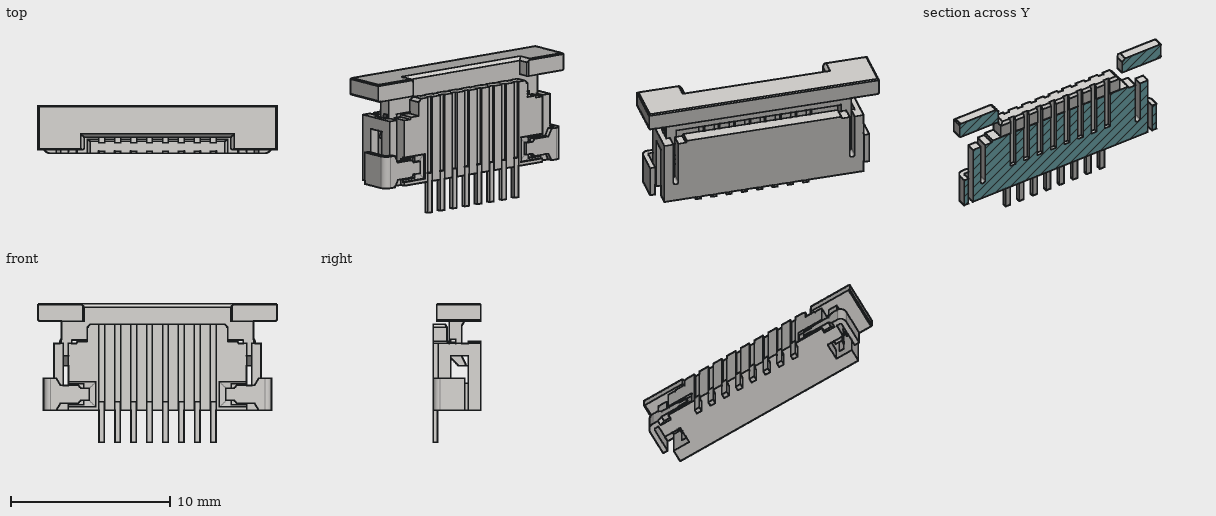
import cadquery as cq

DEPTH = 3.0
PIN_LENGTH = 2.0
HEIGHT_ABOVE_BASE = 6.7

BODY_HALF = 5.59
BODY_HEIGHT = 4.2
STEP_HALF = 5.03
STEP_RISE = 0.13
STEP_BEVEL = 0.07
TOWER_HALF = 4.41
TOWER_DEPTH = 0.88
TOWER_TOP = 5.41
TOWER_BEVEL = 0.2
TOWER_BACK_BEVEL = 0.12

CAVITY_FRONT = 1.0
CAVITY_BACK = 2.19
CAVITY_FLOOR = 1.72
CAVITY_END_RELIEF = 0.22

EAR_OUTER = 6.5
EAR_INNER = 5.91
EAR_FRONT = 0.33
WINDOW_FRONT = 1.12
WINDOW_TOP = 3.42
SLIT_FLOOR = 1.2

CONTACT_COUNT = 8
PITCH = 1.0
CONTACT_WIDTH = 0.37
PIN_WIDTH = 0.35
PIN_DEPTH = 0.28
PIN_TOP = 0.54
FRONT_GROOVE_DEPTH = 0.15
BACK_GROOVE_START = 0.68

BAR_HALF = 7.5
BAR_FRONT = 0.22
BAR_HEIGHT = 1.1
BAR_BOTTOM = HEIGHT_ABOVE_BASE - BAR_HEIGHT
BAR_BEVEL = 0.08
NOTCH_HALF = 4.59
NOTCH_BEVEL = 0.22
NOTCH_CORNER_BEVEL = 0.1
TONGUE_HALF = 6.03
TONGUE_FRONT = CAVITY_FRONT
TONGUE_BACK = 1.8
TONGUE_BOTTOM = 4.41
TONGUE_FLARE = 0.18
TONGUE_FLARE_HEIGHT = 0.28
LEG_INNER = 5.37
HOOK_BOTTOM = 2.79
HOOK_TIP_FRONT = 1.6
HOOK_TIP_BACK = 2.1
NIB_REACH = 0.11
NIB_TOP_REACH = 0.04
NIB_DEPTH = 0.29
NIB_HEIGHT = 0.25
NIB_EDGE_HEIGHT = 0.08

CLIP_OUTER = 7.15
CLIP_THICKNESS = EAR_FRONT
CLIP_DEPTH = 2.0
CLIP_HEIGHT = 2.03
CLIP_BEND_RADIUS = 0.42
CLIP_BEND_INNER = CLIP_BEND_RADIUS - CLIP_THICKNESS
CLIP_WIDE_END = 6.35
CLIP_NECK_START = 6.08
CLIP_NECK_END = 4.97
CLIP_TIP_START = 4.8
CLIP_TIP_END = 4.29
CLIP_NECK_WIDTH = 1.1
CLIP_TIP_WIDTH = 0.76
POCKET_END = 3.88
POCKET_WIDTH = 1.58
POCKET_MARGIN = 0.4
POCKET_RIM_DEPTH = 0.15
POCKET_FLOOR_DEPTH = 0.18
BARB_SLOT_END = 4.61
BARB_SLOT_WIDTH = 1.33


def box(x0, x1, y0, y1, z0, z1):
    """Box between two opposite corners."""
    return cq.Workplane("XY").box(x1 - x0, y1 - y0, z1 - z0, centered=False).translate((x0, y0, z0))


def wide_box(half, y0, y1, z0, z1):
    """Box symmetric about X = 0."""
    return box(-half, half, y0, y1, z0, z1)


def front_prism(points, y0, y1):
    """Extrude an X-Z outline from y0 to y1."""
    return cq.Workplane("XZ", origin=(0, y0, 0)).polyline(points).close().extrude(y0 - y1)


def side_prism(points, x0, x1):
    """Extrude a Y-Z outline from x0 to x1."""
    return cq.Workplane("YZ", origin=(x0, 0, 0)).polyline(points).close().extrude(x1 - x0)


def both_sides(shape):
    """The shape together with its mirror image across X = 0."""
    return shape.union(shape.mirror("YZ"))


def make_body():
    step_top = BODY_HEIGHT + STEP_RISE
    body = wide_box(BODY_HALF, 0, DEPTH, 0, BODY_HEIGHT)
    step = front_prism(
        [
            (-STEP_HALF - STEP_BEVEL, BODY_HEIGHT),
            (-STEP_HALF, step_top),
            (STEP_HALF, step_top),
            (STEP_HALF + STEP_BEVEL, BODY_HEIGHT),
        ],
        0,
        DEPTH,
    )
    body = body.union(step)
    body = body.cut(wide_box(BODY_HALF, CAVITY_FRONT, CAVITY_BACK, CAVITY_FLOOR, step_top))
    relief_start = -BODY_HALF + CAVITY_END_RELIEF
    end_relief = box(-BODY_HALF, relief_start, WINDOW_FRONT, CAVITY_BACK, 0, CAVITY_FLOOR)
    body = body.cut(both_sides(end_relief))
    return body.union(make_tower(step_top))


def make_tower(base):
    shoulder = TOWER_TOP - TOWER_BEVEL
    outline = front_prism(
        [
            (-TOWER_HALF, base),
            (-TOWER_HALF, shoulder),
            (-TOWER_HALF + TOWER_BEVEL, TOWER_TOP),
            (TOWER_HALF - TOWER_BEVEL, TOWER_TOP),
            (TOWER_HALF, shoulder),
            (TOWER_HALF, base),
        ],
        0,
        TOWER_DEPTH,
    )
    profile = side_prism(
        [
            (0, base),
            (0, TOWER_TOP),
            (TOWER_DEPTH - TOWER_BACK_BEVEL, TOWER_TOP),
            (TOWER_DEPTH, shoulder),
            (TOWER_DEPTH, base),
        ],
        -TOWER_HALF,
        TOWER_HALF,
    )
    return outline.intersect(profile)


def make_ear():
    """Left ear: a frame with a side window, a slider slot in its top and webs to the body."""
    ear = box(-EAR_OUTER, -EAR_INNER, EAR_FRONT, DEPTH, 0, BODY_HEIGHT)
    ear = ear.cut(box(-EAR_OUTER, -EAR_INNER, WINDOW_FRONT, CAVITY_BACK, 0, WINDOW_TOP))
    ear = ear.cut(box(-TONGUE_HALF, -EAR_INNER, WINDOW_FRONT, CAVITY_BACK, WINDOW_TOP, BODY_HEIGHT))
    nib_clearance = box(
        -TONGUE_HALF - NIB_REACH, -TONGUE_HALF, WINDOW_FRONT + NIB_DEPTH, CAVITY_BACK, WINDOW_TOP, BODY_HEIGHT
    )
    ear = ear.cut(nib_clearance)
    return ear.union(make_web(EAR_FRONT, WINDOW_FRONT)).union(make_web(CAVITY_BACK, DEPTH))


def make_web(y0, y1):
    """Web closing the lower end of the left slit, with a half-round slit floor."""
    radius = (EAR_INNER - BODY_HALF) / 2
    round_center = SLIT_FLOOR + radius
    web = box(-EAR_INNER, -BODY_HALF, y0, y1, 0, round_center)
    slit_end = (
        cq.Workplane("XZ", origin=(-BODY_HALF - radius, y0, round_center)).circle(radius).extrude(y0 - y1)
    )
    return web.cut(slit_end)


def make_clip_pocket():
    """Left pocket in the body front: a shallow recess with a floor sloping to the clip, and a barb slot."""
    middle = CLIP_HEIGHT / 2
    half = POCKET_WIDTH / 2
    inner_half = half - POCKET_MARGIN
    length = BODY_HALF - POCKET_END
    inner_length = length - POCKET_MARGIN
    rim = box(-BODY_HALF, -POCKET_END, 0, POCKET_RIM_DEPTH, middle - half, middle + half)
    floor = (
        cq.Workplane("XZ", origin=(-BODY_HALF, POCKET_RIM_DEPTH, middle))
        .polyline([(0, -half), (length, -half), (length, half), (0, half)])
        .close()
        .workplane(offset=POCKET_RIM_DEPTH - POCKET_FLOOR_DEPTH)
        .polyline([(0, -inner_half), (inner_length, -inner_half), (inner_length, inner_half), (0, inner_half)])
        .close()
        .loft(ruled=True)
    )
    slot_half = BARB_SLOT_WIDTH / 2
    slot = box(-BODY_HALF, -BARB_SLOT_END, 0, CLIP_THICKNESS, middle - slot_half, middle + slot_half)
    return rim.union(floor).union(slot)


def make_clip():
    """Left clip: an L-shaped strip whose front leg narrows in two steps towards its tip."""
    strip = box(-CLIP_OUTER, -CLIP_TIP_END, 0, CLIP_DEPTH, 0, CLIP_HEIGHT)
    strip = strip.edges("|Z and <X and <Y").fillet(CLIP_BEND_RADIUS)
    inside = box(-CLIP_OUTER + CLIP_THICKNESS, -CLIP_TIP_END, CLIP_THICKNESS, CLIP_DEPTH, 0, CLIP_HEIGHT)
    inside = inside.edges("|Z and <X and <Y").fillet(CLIP_BEND_INNER)
    strip = strip.cut(inside)

    middle = CLIP_HEIGHT / 2
    neck = CLIP_NECK_WIDTH / 2
    tip = CLIP_TIP_WIDTH / 2
    upper_edge = [
        (-CLIP_OUTER, middle),
        (-CLIP_WIDE_END, middle),
        (-CLIP_NECK_START, neck),
        (-CLIP_NECK_END, neck),
        (-CLIP_TIP_START, tip),
        (-CLIP_TIP_END, tip),
    ]
    lower_edge = [(x, -z) for x, z in reversed(upper_edge)]
    outline = front_prism(upper_edge + lower_edge, 0, CLIP_DEPTH).translate((0, 0, middle))
    return strip.intersect(outline)


def make_bar():
    bar = wide_box(BAR_HALF, BAR_FRONT, DEPTH, BAR_BOTTOM, HEIGHT_ABOVE_BASE)
    bar = bar.faces(">Z").edges().chamfer(BAR_BEVEL)
    bar = bar.faces("<Z").edges("|Y").chamfer(BAR_BEVEL)
    bar = bar.cut(wide_box(NOTCH_HALF, 0, TONGUE_FRONT, BAR_BOTTOM, HEIGHT_ABOVE_BASE))

    rim_half = NOTCH_HALF + NOTCH_BEVEL
    rim_back = TONGUE_FRONT + NOTCH_BEVEL
    rim = (
        cq.Workplane("XY", origin=(0, 0, HEIGHT_ABOVE_BASE - NOTCH_BEVEL))
        .polyline([(-NOTCH_HALF, 0), (NOTCH_HALF, 0), (NOTCH_HALF, TONGUE_FRONT), (-NOTCH_HALF, TONGUE_FRONT)])
        .close()
        .workplane(offset=NOTCH_BEVEL)
        .polyline([(-rim_half, 0), (rim_half, 0), (rim_half, rim_back), (-rim_half, rim_back)])
        .close()
        .loft(ruled=True)
    )

    corner = (
        cq.Workplane("XY", origin=(0, 0, BAR_BOTTOM))
        .polyline(
            [
                (-NOTCH_HALF - NOTCH_CORNER_BEVEL, BAR_FRONT),
                (-NOTCH_HALF, BAR_FRONT),
                (-NOTCH_HALF, BAR_FRONT + NOTCH_CORNER_BEVEL),
            ]
        )
        .close()
        .extrude(BAR_HEIGHT)
    )
    return bar.cut(rim).cut(both_sides(corner))


def make_tongue():
    flare_bottom = BAR_BOTTOM - TONGUE_FLARE_HEIGHT
    return side_prism(
        [
            (TONGUE_FRONT, TONGUE_BOTTOM),
            (TONGUE_FRONT, BAR_BOTTOM),
            (TONGUE_BACK + TONGUE_FLARE, BAR_BOTTOM),
            (TONGUE_BACK, flare_bottom),
            (TONGUE_BACK, TONGUE_BOTTOM),
        ],
        -TONGUE_HALF,
        TONGUE_HALF,
    )


def make_slider_leg():
    """Left leg of the slider with its slanted hook and the small stop nib above the ear."""
    leg = box(-TONGUE_HALF, -LEG_INNER, TONGUE_FRONT, TONGUE_BACK, WINDOW_TOP, TONGUE_BOTTOM)
    hook = side_prism(
        [
            (TONGUE_FRONT, WINDOW_TOP),
            (TONGUE_BACK, WINDOW_TOP),
            (HOOK_TIP_BACK, HOOK_BOTTOM),
            (HOOK_TIP_FRONT, HOOK_BOTTOM),
        ],
        -EAR_INNER,
        -LEG_INNER,
    )
    nib = front_prism(
        [
            (-TONGUE_HALF, BODY_HEIGHT),
            (-TONGUE_HALF, BODY_HEIGHT + NIB_HEIGHT),
            (-TONGUE_HALF - NIB_TOP_REACH, BODY_HEIGHT + NIB_HEIGHT),
            (-TONGUE_HALF - NIB_REACH, BODY_HEIGHT + NIB_EDGE_HEIGHT),
            (-TONGUE_HALF - NIB_REACH, BODY_HEIGHT),
        ],
        WINDOW_FRONT,
        WINDOW_FRONT + NIB_DEPTH,
    )
    return leg.union(hook).union(nib)


def add_contacts(housing):
    """Per contact: a groove in the front and back of the front wall, and a downward pin."""
    for index in range(CONTACT_COUNT):
        center = (index - (CONTACT_COUNT - 1) / 2) * PITCH
        left = center - CONTACT_WIDTH / 2
        right = center + CONTACT_WIDTH / 2
        front_groove = box(left, right, 0, FRONT_GROOVE_DEPTH, 0, TOWER_TOP)
        back_groove = box(left, right, BACK_GROOVE_START, CAVITY_FRONT, CAVITY_FLOOR, TOWER_TOP)
        pin = box(center - PIN_WIDTH / 2, center + PIN_WIDTH / 2, 0, PIN_DEPTH, -PIN_LENGTH, PIN_TOP)
        housing = housing.cut(front_groove).cut(back_groove).union(pin)
    return housing


housing = make_body().cut(both_sides(make_clip_pocket()))
housing = housing.union(both_sides(make_ear())).union(both_sides(make_clip()))
housing = add_contacts(housing)
slider = make_bar().union(make_tongue()).union(both_sides(make_slider_leg()))
result = housing.union(slider)